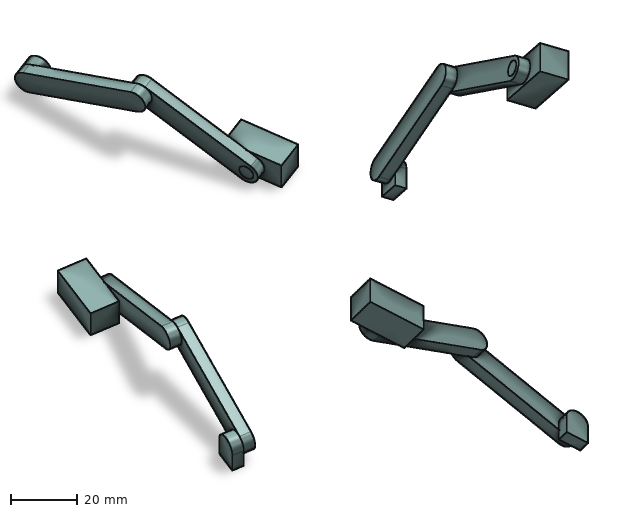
import cadquery as cq
import math

overall_length = 89.0
overall_height = 23.85
link_radius = 4.0
link_thickness = 4.0
block_length = 20.0
block_side = 10.0
pin_diameter = 5.0
foot_axis_height = 7.0
joint_x = 41.8

foot_pivot = (link_radius, foot_axis_height)
joint_pivot = (joint_x, overall_height - link_radius)
block_pivot = (overall_length - block_length / 2, block_side / 2)

front_layer_y = 0.0
middle_layer_y = front_layer_y + link_thickness
block_front_y = middle_layer_y + link_thickness


def plane_at(y):
    """XZ sketch plane at depth y; a negative extrusion goes toward +Y."""
    return cq.Workplane("XZ", origin=(0, y, 0))


def make_link(start, end, front_y):
    """Flat bar with full-round ends centred on two pivots."""
    run = end[0] - start[0]
    rise = end[1] - start[1]
    pivot_distance = math.hypot(run, rise)
    return (
        plane_at(front_y)
        .center((start[0] + end[0]) / 2, (start[1] + end[1]) / 2)
        .slot2D(pivot_distance + 2 * link_radius, 2 * link_radius, math.degrees(math.atan2(rise, run)))
        .extrude(-link_thickness)
    )


def make_pin(front_y):
    """Round pin on the block pivot, one link thickness long."""
    return plane_at(front_y).center(*block_pivot).circle(pin_diameter / 2).extrude(-link_thickness)


def make_foot():
    """Upright foot with a flat base and a round top centred on its pivot."""
    return (
        plane_at(middle_layer_y)
        .moveTo(0, 0)
        .lineTo(2 * link_radius, 0)
        .lineTo(2 * link_radius, foot_axis_height)
        .threePointArc((link_radius, foot_axis_height + link_radius), (0, foot_axis_height))
        .close()
        .extrude(-link_thickness)
    )


def make_block():
    """Rectangular block with its pin standing out of the front face."""
    body = plane_at(block_front_y).center(*block_pivot).rect(block_length, block_side).extrude(-block_side)
    return body.union(make_pin(middle_layer_y))


foot = make_foot()
front_link = make_link(foot_pivot, joint_pivot, front_layer_y)
rear_link = make_link(joint_pivot, block_pivot, middle_layer_y).cut(make_pin(middle_layer_y))
block = make_block()

result = cq.Compound.makeCompound([foot.val(), front_link.val(), rear_link.val(), block.val()])